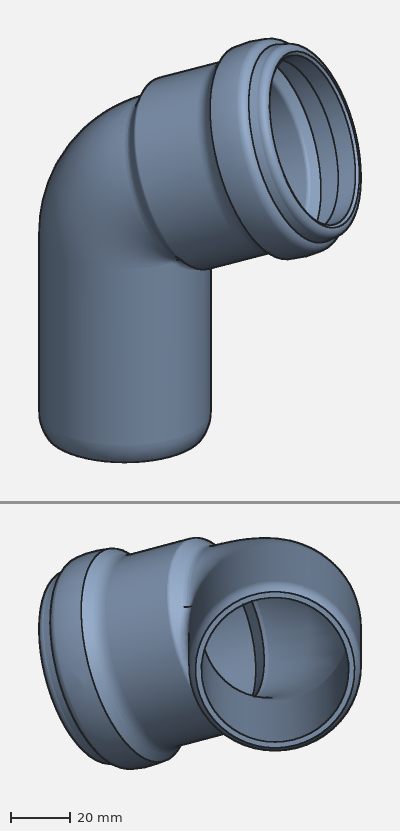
import cadquery as cq
import math

pipe_radius = 58.0 / 2
bore_radius = 49.6 / 2
spigot_length = 72.4
lead_in_height = 7.3
lead_in_inset = 2.2

bend_angle = 67.5
bend_radius = 24.9

socket_length = 56.9
socket_radius = 66.6 / 2
socket_bore_radius = 58.5 / 2
neck_length = 1.6
neck_radius = 29.3
shoulder_end = 5.9
shoulder_round = 1.2
neck_round = 2.4
junction_round = 2.4
junction_depth = 5.9
bore_start = shoulder_end + 1.5

bead_radius = 37.5
bead_side_radius = 37.0
flare_start = 26.5
flare_middle = 22.7
flare_middle_radius = 34.5
bead_back = 19.4
bead_front = 8.9
lip_start = 5.9
lip_start_radius = 34.4
lip_end = 3.0
lip_radius = 67.5 / 2
rim_radius = 30.5
rim_bore_radius = 58.8 / 2
rim_chamfer_depth = 0.9

groove_radius = lip_radius
groove_front = 7.5
groove_back = 16.7
groove_cone_end = 19.0
groove_round = 1.3


def from_rim(distance):
    """Position along the socket axis of a point set back from the rim."""
    return socket_length - distance


def circle_at(radius, height):
    """Selector for the circular edge of a radius and height about Z."""
    margin = 0.01
    reach = radius + margin
    return cq.selectors.BoxSelector(
        (-reach, -reach, height - margin),
        (reach, reach, height + margin),
        boundingbox=True,
    )


def midway_on_arc(start, end, centre):
    """Middle point of the short arc between two points about a centre."""
    mid_x = (start[0] + end[0]) / 2 - centre[0]
    mid_y = (start[1] + end[1]) / 2 - centre[1]
    stretch = math.dist(start, centre) / math.hypot(mid_x, mid_y)
    return (centre[0] + mid_x * stretch, centre[1] + mid_y * stretch)


def make_spigot():
    """Solid pipe whose lower end curves inwards."""
    end_radius = pipe_radius - lead_in_inset
    curve_radius = (lead_in_height**2 + lead_in_inset**2) / (2 * lead_in_inset)
    curve_centre = (pipe_radius - curve_radius, lead_in_height)
    start = (end_radius, 0)
    end = (pipe_radius, lead_in_height)
    return (
        cq.Workplane("XZ")
        .lineTo(*start)
        .threePointArc(midway_on_arc(start, end, curve_centre), end)
        .lineTo(pipe_radius, spigot_length)
        .lineTo(0, spigot_length)
        .close()
        .revolve(360, (0, 0), (0, 1))
    )


def make_bend():
    """Solid elbow; the pipe is wider than the turn, so it is cut at the turning axis."""
    half_chord = math.sqrt(pipe_radius**2 - bend_radius**2)
    return (
        cq.Workplane("XY", origin=(0, 0, spigot_length))
        .moveTo(bend_radius, -half_chord)
        .threePointArc((-pipe_radius, 0), (bend_radius, half_chord))
        .close()
        .revolve(bend_angle, (bend_radius, -1.5), (bend_radius, 1.5))
    )


def make_bend_bore():
    return (
        cq.Workplane("XY", origin=(0, 0, spigot_length))
        .circle(bore_radius)
        .revolve(bend_angle, (bend_radius, -1.5), (bend_radius, 1.5))
    )


def place_socket(shape):
    """Move a shape built upwards along Z from the origin onto the end of the bend."""
    angle = math.radians(bend_angle)
    end_x = bend_radius * (1 - math.cos(angle))
    end_z = spigot_length + bend_radius * math.sin(angle)
    return shape.rotate((0, 0, 0), (0, 1, 0), bend_angle).translate((end_x, 0, end_z))


def make_socket():
    """Solid socket with a conical shoulder, a round bead and a rounded rim."""
    bead_middle = (bead_back + bead_front) / 2
    lip_corner = (lip_radius, from_rim(lip_end))
    rim_corner = (rim_radius, socket_length)
    lip_centre = (rim_radius, from_rim(lip_end))
    outline = (
        cq.Workplane("XZ")
        .lineTo(pipe_radius, 0)
        .lineTo(neck_radius, neck_length)
        .lineTo(socket_radius, shoulder_end)
        .lineTo(socket_radius, from_rim(flare_start))
        .tangentArcPoint((flare_middle_radius, from_rim(flare_middle)), relative=False)
        .tangentArcPoint((bead_side_radius, from_rim(bead_back)), relative=False)
        .threePointArc((bead_radius, from_rim(bead_middle)), (bead_side_radius, from_rim(bead_front)))
        .tangentArcPoint((lip_start_radius, from_rim(lip_start)), relative=False)
        .lineTo(*lip_corner)
        .threePointArc(midway_on_arc(lip_corner, rim_corner, lip_centre), rim_corner)
        .lineTo(0, socket_length)
        .close()
    )
    socket = outline.revolve(360, (0, 0), (0, 1))
    socket = socket.edges(circle_at(neck_radius, neck_length)).fillet(neck_round)
    socket = socket.edges(circle_at(socket_radius, shoulder_end)).fillet(shoulder_round)
    return place_socket(socket)


def make_socket_bore():
    """Stepped passage with the seal groove behind the rim."""
    passage = (
        cq.Workplane("XZ")
        .lineTo(bore_radius, 0)
        .lineTo(bore_radius, neck_length)
        .lineTo(socket_bore_radius, bore_start)
        .lineTo(socket_bore_radius, from_rim(groove_cone_end))
        .lineTo(groove_radius, from_rim(groove_back))
        .lineTo(groove_radius, from_rim(groove_front))
        .lineTo(rim_bore_radius, from_rim(groove_front))
        .lineTo(rim_bore_radius, from_rim(rim_chamfer_depth))
        .lineTo(rim_radius, socket_length)
        .lineTo(0, socket_length)
        .close()
    )
    bore = passage.revolve(360, (0, 0), (0, 1))
    groove_end = circle_at(socket_bore_radius, from_rim(groove_cone_end))
    return place_socket(bore.edges(groove_end).fillet(groove_round))


def round_junction(shape):
    """Fillet the crease where the socket shoulder dips into the spigot wall."""
    margin = 0.1
    half_chord = math.sqrt(pipe_radius**2 - bend_radius**2)
    crease = cq.selectors.BoxSelector(
        (bend_radius - margin, -half_chord - margin, spigot_length - junction_depth),
        (pipe_radius + margin, half_chord + margin, spigot_length + margin),
        boundingbox=True,
    )
    return shape.edges(crease).fillet(junction_round)


spigot_bore = cq.Workplane("XY").circle(bore_radius).extrude(spigot_length)
body = round_junction(make_spigot().union(make_bend()).union(make_socket()))
result = body.cut(spigot_bore).cut(make_bend_bore()).cut(make_socket_bore())